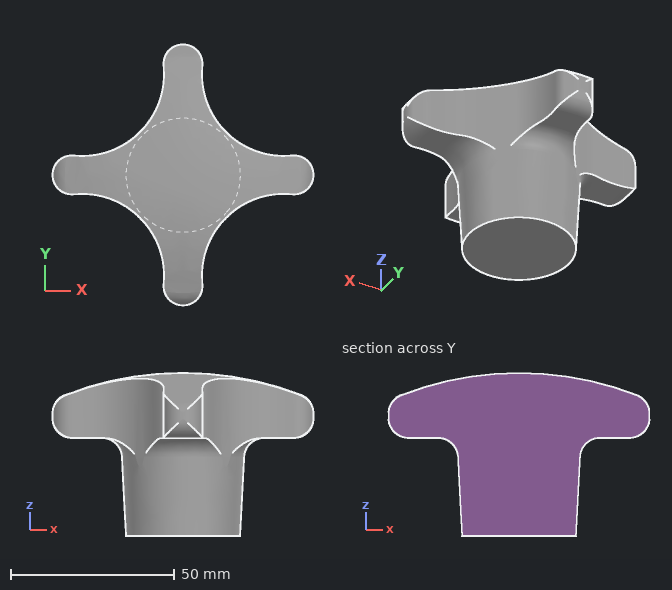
import cadquery as cq
import math

knob_radius = 40.0
knob_height = 50.0

head_underside = 30.0
dome_radius = 100.0
rim_radius = 6.0

hub_base_radius = 17.5
hub_taper = math.radians(3.0)
hub_fillet_radius = 6.0

arm_count = 4
tip_radius = 6.0
valley_radius = 25.0

dome_center_z = knob_height - dome_radius
rim_center_r = knob_radius - rim_radius
rim_top_center_z = dome_center_z + math.sqrt((dome_radius - rim_radius) ** 2 - rim_center_r ** 2)
rim_bottom_center_z = head_underside + rim_radius

fillet_center_z = head_underside - hub_fillet_radius
fillet_center_r = (
    hub_base_radius + fillet_center_z * math.tan(hub_taper) + hub_fillet_radius / math.cos(hub_taper)
)


def arc_point(center_r, center_z, radius, angle):
    """Point at the given angle on a circle in the radial profile plane."""
    return (center_r + radius * math.cos(angle), center_z + radius * math.sin(angle))


def make_revolved_body():
    """Solid of revolution: tapered hub, flat underside, rounded rim and domed top."""
    fillet_start = math.pi - hub_taper
    fillet_end = math.pi / 2
    dome_end = math.atan2(rim_top_center_z - dome_center_z, rim_center_r)

    profile = (
        cq.Workplane("XZ")
        .moveTo(0, 0)
        .lineTo(hub_base_radius, 0)
        .lineTo(*arc_point(fillet_center_r, fillet_center_z, hub_fillet_radius, fillet_start))
        .threePointArc(
            arc_point(fillet_center_r, fillet_center_z, hub_fillet_radius, (fillet_start + fillet_end) / 2),
            arc_point(fillet_center_r, fillet_center_z, hub_fillet_radius, fillet_end),
        )
        .lineTo(rim_center_r, head_underside)
        .threePointArc(
            arc_point(rim_center_r, rim_bottom_center_z, rim_radius, -math.pi / 4),
            (knob_radius, rim_bottom_center_z),
        )
        .lineTo(knob_radius, rim_top_center_z)
        .threePointArc(
            arc_point(rim_center_r, rim_top_center_z, rim_radius, dome_end / 2),
            arc_point(rim_center_r, rim_top_center_z, rim_radius, dome_end),
        )
        .threePointArc(
            arc_point(0, dome_center_z, dome_radius, (dome_end + math.pi / 2) / 2),
            (0, knob_height),
        )
        .close()
    )
    return profile.revolve(360, (0, 0, 0), (0, 1, 0))


def make_cross_prism():
    """Upright prism whose plan is the cross: round tips joined tangentially by concave valleys."""
    tip_center = knob_radius - tip_radius
    radius_sum = tip_radius + valley_radius
    valley_center = (tip_center + math.sqrt(2 * radius_sum ** 2 - tip_center ** 2)) / 2
    valley_mid = valley_center - valley_radius / math.sqrt(2)

    tip_share = tip_radius / radius_sum
    joint_x = tip_center + (valley_center - tip_center) * tip_share
    joint_y = valley_center * tip_share

    def turned(x, y, arm):
        """Point on the first arm turned about the axis to the given arm."""
        angle = arm * 2 * math.pi / arm_count
        return (
            x * math.cos(angle) - y * math.sin(angle),
            x * math.sin(angle) + y * math.cos(angle),
        )

    outline = cq.Workplane("XY").moveTo(joint_x, -joint_y)
    for arm in range(arm_count):
        outline = outline.threePointArc(turned(knob_radius, 0, arm), turned(joint_x, joint_y, arm))
        outline = outline.threePointArc(
            turned(valley_mid, valley_mid, arm),
            turned(joint_x, -joint_y, arm + 1),
        )
    return outline.close().extrude(knob_height)


result = make_revolved_body().intersect(make_cross_prism())